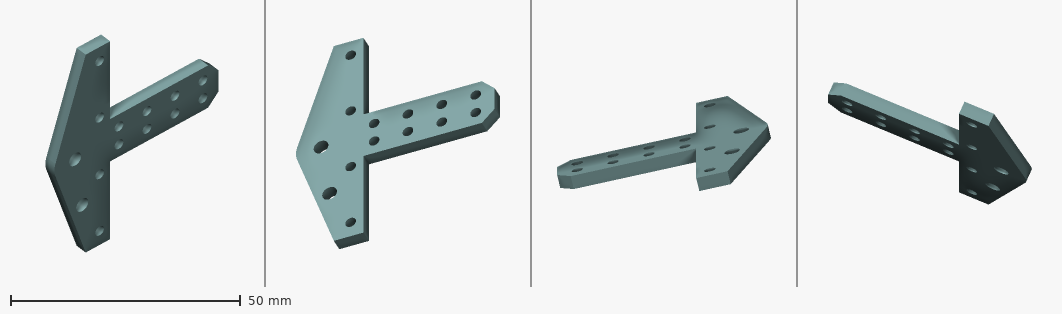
import cadquery as cq
import math

thickness = 3.0
total_length = 47.0
crossbar_height = 56.0

stem_length = 31.0
stem_width = 12.0
stem_chamfer = 3.0

crossbar_end_width = 7.0
nose_radius = 5.6

small_diameter = 2.5
large_diameter = 3.5
crossbar_hole_y = -3.0
crossbar_hole_pitch = 16.0
crossbar_hole_count = 4
stem_hole_end_margin = 4.5
stem_hole_pitch = 8.0
stem_hole_columns = 4
stem_hole_row_spacing = 5.05
nose_hole = (-10.0, 0.0)
offset_hole = (-8.0, -14.0)


def nose_tangent_point(corner_y, corner_z, center_y):
    """Point where the sloping edge from the corner touches the nose arc."""
    dy = corner_y - center_y
    distance = math.hypot(dy, corner_z)
    angle = math.atan2(corner_z, dy) + math.acos(nose_radius / distance)
    return center_y + nose_radius * math.cos(angle), nose_radius * math.sin(angle)


def make_plate():
    half_stem = stem_width / 2
    half_bar = crossbar_height / 2
    nose_y = stem_length - total_length
    tangent_y, tangent_z = nose_tangent_point(-crossbar_end_width, half_bar, nose_y + nose_radius)
    return (
        cq.Workplane("YZ")
        .moveTo(stem_length, half_stem - stem_chamfer)
        .lineTo(stem_length - stem_chamfer, half_stem)
        .lineTo(0, half_stem)
        .lineTo(0, half_bar)
        .lineTo(-crossbar_end_width, half_bar)
        .lineTo(tangent_y, tangent_z)
        .threePointArc((nose_y, 0), (tangent_y, -tangent_z))
        .lineTo(-crossbar_end_width, -half_bar)
        .lineTo(0, -half_bar)
        .lineTo(0, -half_stem)
        .lineTo(stem_length - stem_chamfer, -half_stem)
        .lineTo(stem_length, -half_stem + stem_chamfer)
        .close()
        .extrude(thickness)
    )


def through_holes(points, diameter):
    """Cylinders through the plate thickness at the given (Y, Z) points."""
    return cq.Workplane("YZ").pushPoints(points).circle(diameter / 2).extrude(thickness)


crossbar_points = [
    (crossbar_hole_y, (i - (crossbar_hole_count - 1) / 2) * crossbar_hole_pitch)
    for i in range(crossbar_hole_count)
]
stem_points = [
    (stem_length - stem_hole_end_margin - i * stem_hole_pitch, side * stem_hole_row_spacing / 2)
    for i in range(stem_hole_columns)
    for side in (-1, 1)
]

result = (
    make_plate()
    .cut(through_holes(crossbar_points + stem_points, small_diameter))
    .cut(through_holes([nose_hole, offset_hole], large_diameter))
)